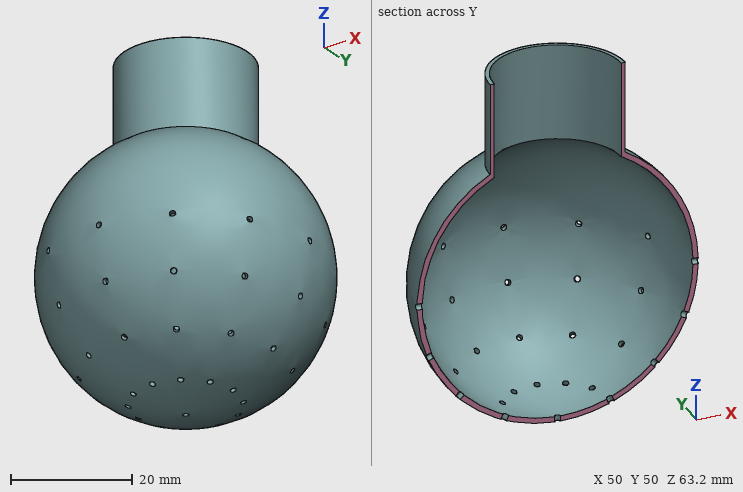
import cadquery as cq
import math

total_height = 63.2
ball_diameter = 50.0
ball_wall = 1.0
neck_diameter = 24.0
neck_bore = 22.5
hole_diameter = 1.0
holes_per_ring = 12
ring_angles = (0, 22.5, 45, 67.5)

ball_radius = ball_diameter / 2
cavity_radius = ball_radius - ball_wall
neck_top = total_height - ball_radius
drill_start = cavity_radius - ball_wall
drill_length = ball_radius + ball_wall - drill_start


def neck_cylinder(diameter):
    """Vertical cylinder from the ball centre to the top of the neck."""
    return cq.Workplane("XY").circle(diameter / 2).extrude(neck_top)


def radial_drill(angle_below, azimuth):
    """Small drill crossing the ball wall, pointing away from the ball centre."""
    down = math.radians(angle_below)
    turn = math.radians(azimuth)
    direction = cq.Vector(
        math.cos(down) * math.cos(turn),
        math.cos(down) * math.sin(turn),
        -math.sin(down),
    )
    return cq.Solid.makeCylinder(hole_diameter / 2, drill_length, direction * drill_start, direction)


outside = cq.Workplane("XY").sphere(ball_radius).union(neck_cylinder(neck_diameter))
inside = cq.Workplane("XY").sphere(cavity_radius).union(neck_cylinder(neck_bore))
shell = outside.cut(inside)

drills = [radial_drill(90, 0)]
for ring_angle in ring_angles:
    for index in range(holes_per_ring):
        drills.append(radial_drill(ring_angle, index * 360 / holes_per_ring))

result = shell.cut(cq.Workplane(obj=cq.Compound.makeCompound(drills)))